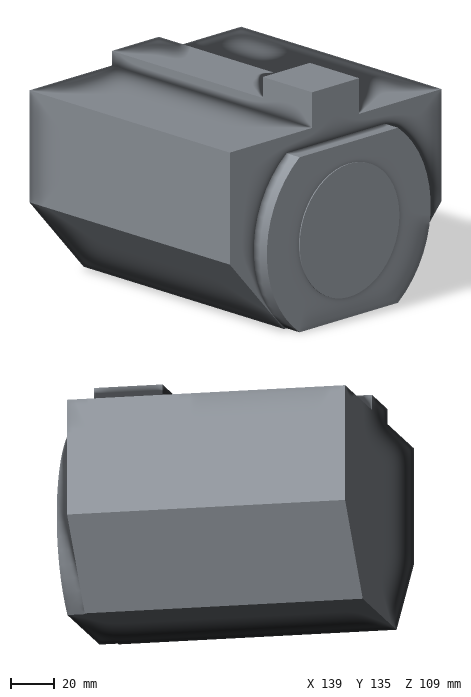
import cadquery as cq

body_length = 130.0
body_width = 135.0
body_height = 92.0
bottom_width = 66.0
slant_height = 38.5

key_width = 30.0
rib_height = 7.0
block_length = 32.0
block_height = 17.0

flange_diameter = 104.5
flange_height = 83.6
flange_thickness = 8.5

pilot_diameter = 63.6
pilot_thickness = 0.5

axis_z = flange_height / 2


def make_body():
    half_width = body_width / 2
    half_bottom = bottom_width / 2
    outline = [
        (-half_bottom, 0),
        (half_bottom, 0),
        (half_width, slant_height),
        (half_width, body_height),
        (-half_width, body_height),
        (-half_width, slant_height),
    ]
    return cq.Workplane("YZ").polyline(outline).close().extrude(body_length)


def make_key_section(length, height):
    """Box on the top face, ending flush with the +X end of the body."""
    return (
        cq.Workplane("XY")
        .box(length, key_width, height, centered=(False, True, False))
        .translate((body_length - length, 0, body_height))
    )


def make_disc(diameter, thickness, start_x):
    """Disc on the flange axis, growing toward +X from start_x."""
    return (
        cq.Workplane("YZ", origin=(start_x, 0, axis_z))
        .circle(diameter / 2)
        .extrude(thickness)
    )


def make_flange():
    disc = make_disc(flange_diameter, flange_thickness, body_length)
    between_flats = (
        cq.Workplane("YZ", origin=(body_length, 0, axis_z))
        .rect(flange_diameter, flange_height)
        .extrude(flange_thickness)
    )
    return disc.intersect(between_flats)


result = (
    make_body()
    .union(make_key_section(body_length, rib_height))
    .union(make_key_section(block_length, block_height))
    .union(make_flange())
    .union(make_disc(pilot_diameter, pilot_thickness, body_length + flange_thickness))
)